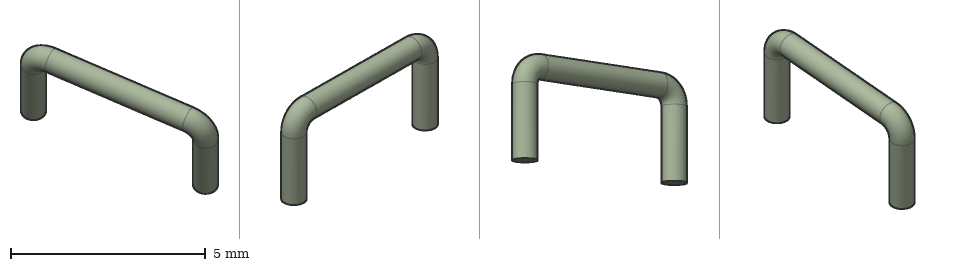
import cadquery as cq
import math

length = 5.66
height = 2.83
wire_diameter = 0.66
bend_radius = 0.5

wire_radius = wire_diameter / 2
leg_x = length / 2 - wire_radius
bar_z = height - wire_radius
leg_top_z = bar_z - bend_radius
bar_end_x = leg_x - bend_radius

arc_offset = bend_radius * math.sin(math.radians(45))

centreline = (
    cq.Workplane("XZ")
    .moveTo(-leg_x, 0)
    .lineTo(-leg_x, leg_top_z)
    .threePointArc((-bar_end_x - arc_offset, leg_top_z + arc_offset), (-bar_end_x, bar_z))
    .lineTo(bar_end_x, bar_z)
    .threePointArc((bar_end_x + arc_offset, leg_top_z + arc_offset), (leg_x, leg_top_z))
    .lineTo(leg_x, 0)
)

result = cq.Workplane("XY").center(-leg_x, 0).circle(wire_radius).sweep(centreline)